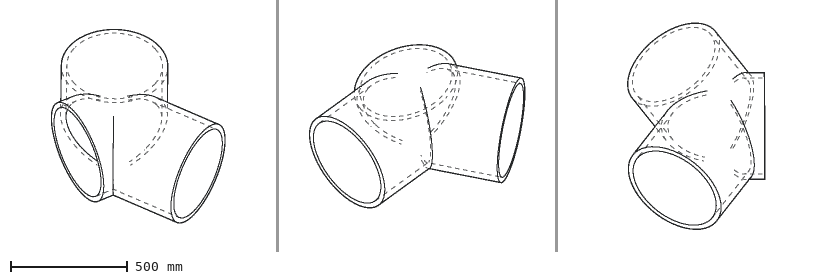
import cadquery as cq
import math

overall_width = 954.5
outer_diameter = 457.0
bore_diameter = 409.5
inlet_length = 178.0
branch_rise = 30.0

rise = math.radians(branch_rise)
branch_length = (overall_width / 2 - outer_diameter / 2 * math.sin(rise)) / math.cos(rise)

legs = [
    (branch_rise, branch_length),
    (180 - branch_rise, branch_length),
    (270, inlet_length),
]


def joined_cylinders(diameter):
    """Union of one solid cylinder per leg, all starting at the origin."""
    joined = cq.Workplane("XY")
    for angle, length in legs:
        cylinder = cq.Workplane("YZ").circle(diameter / 2).extrude(length)
        joined = joined.union(cylinder.rotate((0, 0, 0), (0, 0, 1), angle))
    return joined


def space_behind_inlet_face():
    """Half-space y > -inlet_length, as a box large enough to hold the junction."""
    return (
        cq.Workplane("XY")
        .box(2 * overall_width, overall_width, overall_width, centered=(True, False, True))
        .translate((0, -inlet_length, 0))
    )


outer_body = joined_cylinders(outer_diameter).intersect(space_behind_inlet_face())
result = outer_body.cut(joined_cylinders(bore_diameter))